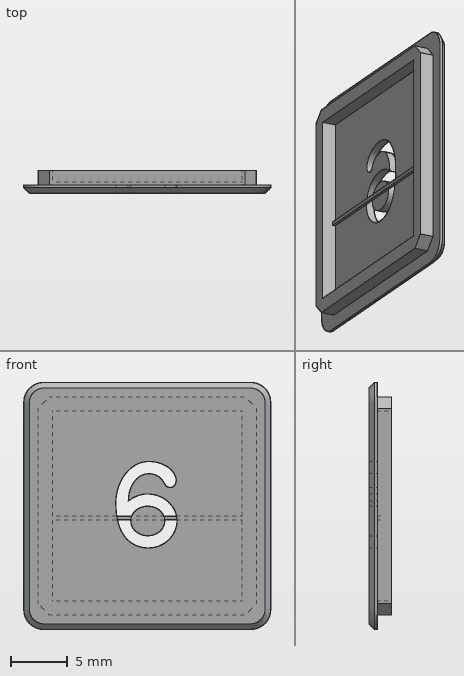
import cadquery as cq

PLATE_SIZE = 21.84
PLATE_THICKNESS = 0.762
PLATE_CORNER_RADIUS = 1.778
BEVEL = 0.508

TOTAL_DEPTH = 2.032
RIM_INSET = 1.27
RIM_SIZE = PLATE_SIZE - 2 * RIM_INSET
RIM_HEIGHT = TOTAL_DEPTH - PLATE_THICKNESS
RIM_CORNER_CHAMFER = 1.016
RIM_WALL = 1.27
POCKET_SIZE = RIM_SIZE - 2 * RIM_WALL

FRONT_Y = -TOTAL_DEPTH / 2
PLATE_BACK_Y = FRONT_Y + PLATE_THICKNESS

STROKE = 1.06
NUMERAL_LEFT = -2.77
NUMERAL_RIGHT = 2.62
NUMERAL_TOP = 3.92
NUMERAL_BOTTOM = -3.70
NUMERAL_MID_X = 0.12
SPINE_Z = 0.2
BOWL_CENTER_Z = -1.30
BOWL_TOP_X = 0.02
BOWL_TOP_Z = 1.05
NOTCH = (-1.68, 0.42)
NOTCH_DIRECTION = (-1, -0.8)
HOOK_TIP_RIGHT = 2.55
HOOK_TIP_Z = 2.2
HOOK_TIP_BOTTOM = (2.03, 1.64)
HOOK_INNER = (1.36, 2.25)
HOOK_DIRECTION = (0.6, -0.8)

ELLIPSE_REACH = 0.5523
FULL_REACH = 0.63

ISLAND_LEFT = -1.46
ISLAND_RIGHT = 1.55
ISLAND_TOP = BOWL_TOP_Z - STROKE
ISLAND_BOTTOM = NUMERAL_BOTTOM + STROKE

RIB_HEIGHT = 0.33
RIB_CENTER_Z = -1.07
RIB_DEPTH = 0.254

LEFT = (-1, 0)
RIGHT = (1, 0)


def front_plane(y):
    """XZ workplane at depth y; negative extrusions run backward, toward +Y."""
    return cq.Workplane("XZ", origin=(0, y, 0))


def add_quarter(profile, start, end, leaves_vertically, reach=ELLIPSE_REACH):
    """Add a quarter oval from start to end, horizontal at one end and vertical at the other."""
    dx = end[0] - start[0]
    dz = end[1] - start[1]
    if leaves_vertically:
        first_handle = (start[0], start[1] + reach * dz)
        second_handle = (end[0] - reach * dx, end[1])
    else:
        first_handle = (start[0] + reach * dx, start[1])
        second_handle = (end[0], end[1] - reach * dz)
    return profile.bezier([start, first_handle, second_handle, end])


def add_bend(profile, end, start_direction, end_direction):
    """Add a smooth curve from the current point to end with given end directions."""
    return profile.spline([end], tangents=[start_direction, end_direction], includeCurrent=True)


def make_plate():
    plate = front_plane(FRONT_Y).rect(PLATE_SIZE, PLATE_SIZE).extrude(-PLATE_THICKNESS)
    plate = plate.edges("|Y").fillet(PLATE_CORNER_RADIUS)
    return plate.faces("<Y").chamfer(BEVEL)


def make_rim():
    rim = front_plane(PLATE_BACK_Y).rect(RIM_SIZE, RIM_SIZE).extrude(-RIM_HEIGHT)
    rim = rim.edges("|Y").chamfer(RIM_CORNER_CHAMFER)
    pocket = front_plane(PLATE_BACK_Y).rect(POCKET_SIZE, POCKET_SIZE).extrude(-RIM_HEIGHT)
    return rim.cut(pocket)


def make_numeral():
    top = (NUMERAL_MID_X, NUMERAL_TOP)
    spine = (NUMERAL_LEFT, SPINE_Z)
    bottom = (NUMERAL_MID_X, NUMERAL_BOTTOM)
    bowl_right = (NUMERAL_RIGHT, BOWL_CENTER_Z)
    bowl_top = (BOWL_TOP_X, BOWL_TOP_Z)
    inner_top = (NUMERAL_MID_X, NUMERAL_TOP - STROKE)
    tip_right = (HOOK_TIP_RIGHT, HOOK_TIP_Z)

    outline = front_plane(FRONT_Y).moveTo(*top)
    outline = add_quarter(outline, top, spine, leaves_vertically=False)
    outline = add_quarter(outline, spine, bottom, leaves_vertically=True, reach=FULL_REACH)
    outline = add_quarter(outline, bottom, bowl_right, leaves_vertically=False)
    outline = add_quarter(outline, bowl_right, bowl_top, leaves_vertically=True)
    outline = add_bend(outline, NOTCH, LEFT, NOTCH_DIRECTION)

    outline = add_quarter(outline, NOTCH, inner_top, leaves_vertically=True)
    outline = add_bend(outline, HOOK_INNER, RIGHT, HOOK_DIRECTION)
    outline = add_bend(outline, HOOK_TIP_BOTTOM, HOOK_DIRECTION, RIGHT)
    outline = add_quarter(outline, HOOK_TIP_BOTTOM, tip_right, leaves_vertically=False)
    outline = add_quarter(outline, tip_right, top, leaves_vertically=True)
    return outline.close().extrude(-PLATE_THICKNESS)


def make_island():
    half_width = (ISLAND_RIGHT - ISLAND_LEFT) / 2
    half_height = (ISLAND_TOP - ISLAND_BOTTOM) / 2
    center_x = (ISLAND_RIGHT + ISLAND_LEFT) / 2
    center_z = (ISLAND_TOP + ISLAND_BOTTOM) / 2
    sketch = front_plane(FRONT_Y).center(center_x, center_z)
    return sketch.ellipse(half_width, half_height).extrude(-PLATE_THICKNESS)


def make_rib():
    sketch = front_plane(PLATE_BACK_Y).center(0, RIB_CENTER_Z)
    return sketch.rect(POCKET_SIZE, RIB_HEIGHT).extrude(-RIB_DEPTH)


face = make_plate().cut(make_numeral()).union(make_island())
result = face.union(make_rim()).union(make_rib())